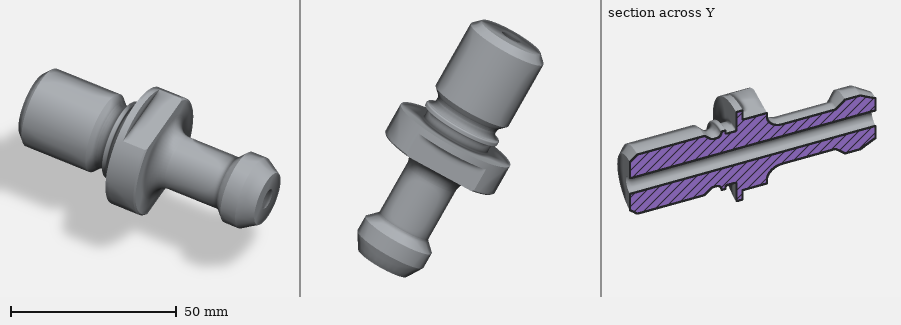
import cadquery as cq

thread_end = 24.2
ring_start = 29.6
ring_end = 31.1
flange_start = 34.5
flange_end = 44.5
flat_start = 36.6
head_land_start = 69.8
head_land_end = 74.9
length = 79.8

bore_radius = 6.4 / 2
thread_radius = 25.3 / 2
neck_radius = 20.5 / 2
ring_radius = 25.0 / 2
collar_radius = 22.0 / 2
flange_radius = 38.0 / 2
shank_radius = 16.9 / 2
head_radius = 23.0 / 2

neck_fillet = 1.6
ring_start_round = 0.5
ring_end_round = 0.2
collar_fillet = 0.5
flange_chamfer = 0.5
shank_fillet = 5.0
head_fillet = 0.7
flat_height = 15.0

thread_chamfer = thread_radius - neck_radius
neck_start = thread_end + thread_chamfer
head_cone_start = head_land_start - (head_radius - shank_radius)


def cylinder(start, end, radius):
    return cq.Workplane("YZ", origin=(start, 0, 0)).circle(radius).extrude(end - start)


def turned(points):
    """Revolve a closed outline of (x, radius) points about the X axis."""
    return cq.Workplane("XY").polyline(points).close().revolve(360, (0, 0, 0), (1, 0, 0))


def round_edge(body, x, radius, size):
    """Fillet the circular edge at station x with the given radius."""
    margin = 0.01
    edge = cq.selectors.BoxSelector(
        (x - margin, -radius - margin, -radius - margin),
        (x + margin, radius + margin, radius + margin),
        boundingbox=True,
    )
    circles = body.edges(edge).edges(cq.selectors.RadiusNthSelector(-1))
    return body.newObject(circles.vals()).fillet(size)


def turned_body():
    """Sharp-cornered profile, then its fillets and rounds."""
    body = turned([
        (0, 0),
        (0, thread_radius - thread_chamfer),
        (thread_chamfer, thread_radius),
        (thread_end, thread_radius),
        (neck_start, neck_radius),
        (ring_start, neck_radius),
        (ring_start, ring_radius),
        (ring_end, ring_radius),
        (ring_end, collar_radius),
        (flange_start, collar_radius),
        (flange_start, flange_radius),
        (flange_end - flange_chamfer, flange_radius),
        (flange_end, flange_radius - flange_chamfer),
        (flange_end, shank_radius),
        (head_cone_start, shank_radius),
        (head_land_start, head_radius),
        (head_land_end, head_radius),
        (length, shank_radius),
        (length, 0),
    ])
    rounds = [
        (neck_start, neck_radius, neck_fillet),
        (ring_start, neck_radius, neck_fillet),
        (ring_start, ring_radius, ring_start_round),
        (ring_end, ring_radius, ring_end_round),
        (ring_end, collar_radius, collar_fillet),
        (flange_start, collar_radius, collar_fillet),
        (flange_end, shank_radius, shank_fillet),
        (head_cone_start, shank_radius, head_fillet),
    ]
    for x, radius, size in rounds:
        body = round_edge(body, x, radius, size)
    return body


def flat_cutter(side):
    """Block that removes the flange beyond one wrench flat (side is +1 or -1)."""
    depth = flange_radius - flat_height
    middle = ((flat_start + flange_end) / 2, 0, side * (flat_height + depth / 2))
    return cq.Workplane("XY", origin=middle).box(flange_end - flat_start, 2 * flange_radius, depth)


result = turned_body().cut(cylinder(0, length, bore_radius))
for side in (1, -1):
    result = result.cut(flat_cutter(side))